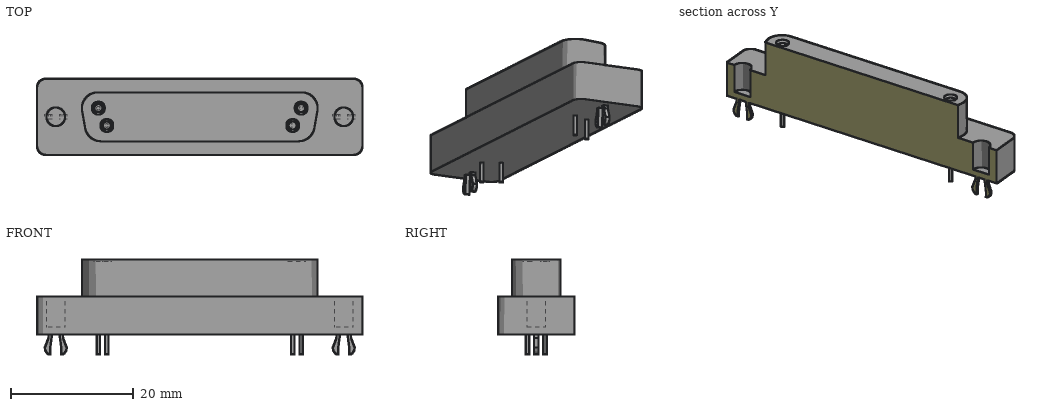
import cadquery as cq
import math

FLANGE_LENGTH = 53.2
FLANGE_WIDTH = 12.5
FLANGE_HEIGHT = 6.25
FLANGE_CORNER_RADIUS = 1.5

TOTAL_HEIGHT = 15.53
PIN_LENGTH = 3.2
BODY_LENGTH = 38.5
BODY_WIDTH = 8.0
BODY_CORNER_RADIUS = 2.6
BODY_SIDE_ANGLE = 10.0
BODY_TOP = TOTAL_HEIGHT - PIN_LENGTH

CONTACT_PITCH = 2.76
ROW_SPACING = 2.84
LONG_ROW_COUNT = 13
SHORT_ROW_COUNT = 12
PIN_DIAMETER = 0.6
SOCKET_MOUTH_DIAMETER = 2.1
SOCKET_FLOOR_DIAMETER = 1.35
SOCKET_DEPTH = 0.4

MOUNT_SPACING = 47.04
MOUNT_DIAMETER = 3.05
MOUNT_DEPTH = 5.0

CLIP_THICKNESS = 0.75
LEG_ROOT_INNER = 0.6
LEG_ROOT_OUTER = 1.2
LEG_TIP_INNER = 0.88
LEG_TIP_OUTER = 1.15
LEG_BARB_REACH = 1.8
LEG_NECK_DEPTH = 0.5
LEG_BARB_DEPTH = 2.1
LEG_TIP_BULGE = 0.13


def contact_points():
    """Outermost contact positions of the long (+Y) and short (-Y) rows."""
    points = []
    for count, y in ((LONG_ROW_COUNT, ROW_SPACING / 2), (SHORT_ROW_COUNT, -ROW_SPACING / 2)):
        reach = (count - 1) / 2 * CONTACT_PITCH
        points += [(-reach, y), (reach, y)]
    return points


def make_flange():
    flange = cq.Workplane("XY").box(
        FLANGE_LENGTH, FLANGE_WIDTH, FLANGE_HEIGHT, centered=(True, True, False)
    )
    return flange.edges("|Z").fillet(FLANGE_CORNER_RADIUS)


def make_body():
    """Rounded trapezoid, wider on the +Y side, standing on the flange."""
    angle = math.radians(BODY_SIDE_ANGLE)
    half_width = BODY_WIDTH / 2
    arc_x = BODY_LENGTH / 2 - BODY_CORNER_RADIUS
    arc_y = half_width - BODY_CORNER_RADIUS
    side_x_at_arc = arc_x + BODY_CORNER_RADIUS / math.cos(angle)
    wide_half = side_x_at_arc + (half_width - arc_y) * math.tan(angle)
    narrow_half = wide_half - BODY_WIDTH * math.tan(angle)
    return (
        cq.Workplane("XY")
        .polyline([
            (-wide_half, half_width),
            (wide_half, half_width),
            (narrow_half, -half_width),
            (-narrow_half, -half_width),
        ])
        .close()
        .extrude(BODY_TOP)
        .edges("|Z")
        .fillet(BODY_CORNER_RADIUS)
    )


def make_socket():
    """Cutter for one contact socket: a shallow cone with a flat floor, mouth at Z = 0."""
    return cq.Workplane(
        cq.Solid.makeCone(
            SOCKET_FLOOR_DIAMETER / 2,
            SOCKET_MOUTH_DIAMETER / 2,
            SOCKET_DEPTH,
            pnt=cq.Vector(0, 0, -SOCKET_DEPTH),
        )
    )


def make_pins():
    return cq.Workplane("XY").pushPoints(contact_points()).circle(PIN_DIAMETER / 2).extrude(-PIN_LENGTH)


def make_clip_leg():
    """Barbed leg on the +X side of a clip centred on the Z axis."""
    bulge_point = (
        (LEG_BARB_REACH + LEG_TIP_OUTER) / 2 + LEG_TIP_BULGE,
        -(LEG_BARB_DEPTH + PIN_LENGTH) / 2 - LEG_TIP_BULGE,
    )
    return (
        cq.Workplane("XZ")
        .moveTo(LEG_ROOT_INNER, 0)
        .lineTo(LEG_ROOT_OUTER, 0)
        .lineTo(LEG_ROOT_OUTER, -LEG_NECK_DEPTH)
        .lineTo(LEG_BARB_REACH, -LEG_BARB_DEPTH)
        .threePointArc(bulge_point, (LEG_TIP_OUTER, -PIN_LENGTH))
        .lineTo(LEG_TIP_INNER, -PIN_LENGTH)
        .lineTo(LEG_TIP_INNER, -LEG_BARB_DEPTH)
        .close()
        .extrude(CLIP_THICKNESS / 2, both=True)
    )


def make_clip():
    leg = make_clip_leg()
    return leg.union(leg.mirror("YZ"))


mount_points = [(-MOUNT_SPACING / 2, 0), (MOUNT_SPACING / 2, 0)]

result = make_flange().union(make_body()).union(make_pins())

clip = make_clip()
for x, y in mount_points:
    result = result.union(clip.translate((x, y, 0)))

mount_holes = (
    cq.Workplane("XY", origin=(0, 0, FLANGE_HEIGHT))
    .pushPoints(mount_points)
    .circle(MOUNT_DIAMETER / 2)
    .extrude(-MOUNT_DEPTH)
)
result = result.cut(mount_holes)

socket = make_socket()
for x, y in contact_points():
    result = result.cut(socket.translate((x, y, BODY_TOP)))